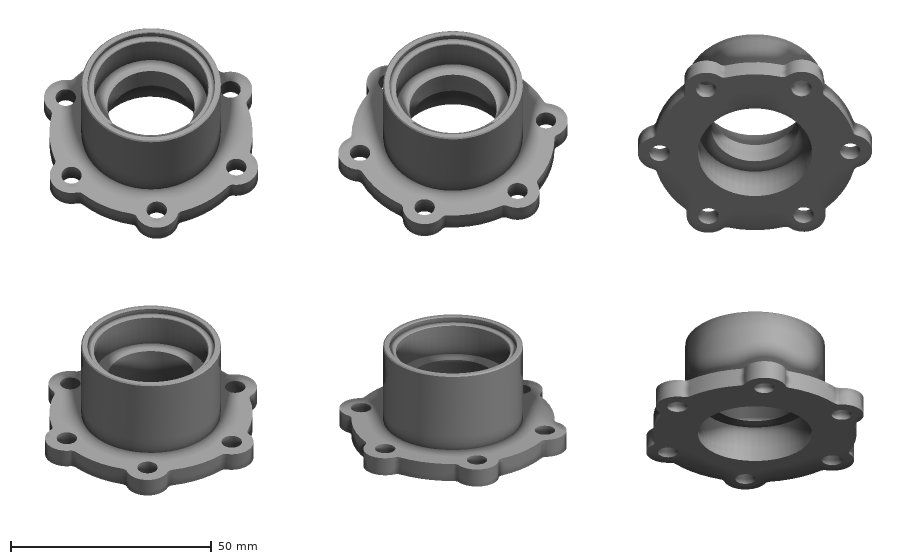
import cadquery as cq

lug_count = 6
bolt_circle_radius = 23.8
lug_radius = 5.45
bolt_hole_diameter = 5.1
disc_radius = 25.4
flange_thickness = 4.75
neck_fillet = 1.5

total_height = 25.4
hub_diameter = 34.95
hub_chamfer = 0.3

web_bore_diameter = 21.8
socket_diameter = 28.55
socket_depth = 9.55
recess_diameter = 31.8
recess_depth = 1.5
bore_chamfer = 0.2


def cylinder(diameter, bottom, top):
    """Vertical cylinder on the part axis."""
    return cq.Workplane("XY").workplane(offset=bottom).circle(diameter / 2).extrude(top - bottom)


def lug_centers():
    """Empty workplane with one point per lug."""
    return cq.Workplane("XY").polarArray(bolt_circle_radius, 0, 360, lug_count)


def make_flange():
    """Round disc with lugs blended into its rim and a hole through each lug."""
    disc = cylinder(2 * disc_radius, 0, flange_thickness)
    lugs = lug_centers().circle(lug_radius).extrude(flange_thickness)
    holes = lug_centers().circle(bolt_hole_diameter / 2).extrude(flange_thickness)
    corners = cq.selectors.BoxSelector(
        (-disc_radius, -disc_radius, 0), (disc_radius, disc_radius, flange_thickness)
    )
    blank = disc.union(lugs).edges("|Z").edges(corners).fillet(neck_fillet)
    return blank.cut(holes)


def bore_with_chamfered_mouth(diameter, bottom, top):
    """Cutter for a bore whose upper mouth flares by the bore chamfer."""
    radius = diameter / 2
    return (
        cq.Workplane("XZ")
        .moveTo(0, bottom)
        .lineTo(radius, bottom)
        .lineTo(radius, top - bore_chamfer)
        .lineTo(radius + bore_chamfer, top)
        .lineTo(0, top)
        .close()
        .revolve(360, (0, 0), (0, 1))
    )


hub = cylinder(hub_diameter, 0, total_height).faces(">Z").edges().chamfer(hub_chamfer)
recess_floor = total_height - recess_depth
upper_socket_floor = total_height - socket_depth

result = (
    make_flange()
    .union(hub)
    .cut(cylinder(web_bore_diameter, 0, total_height))
    .cut(cylinder(socket_diameter, 0, socket_depth))
    .cut(bore_with_chamfered_mouth(socket_diameter, upper_socket_floor, recess_floor))
    .cut(bore_with_chamfered_mouth(recess_diameter, recess_floor, total_height))
)